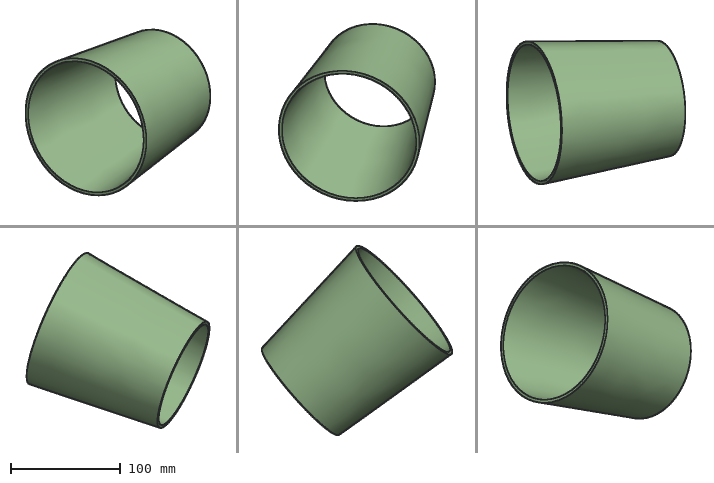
import cadquery as cq

LARGE_OUTER_DIAMETER = 131.0
SMALL_OUTER_DIAMETER = 106.0
WALL = 3.0
LENGTH = 127.0


def reducer_shell():
    """Revolve the slanted wall section around Y, with the large end at Y = 0."""
    large_radius = LARGE_OUTER_DIAMETER / 2
    small_radius = SMALL_OUTER_DIAMETER / 2
    wall_section = [
        (large_radius - WALL, 0),
        (large_radius, 0),
        (small_radius, LENGTH),
        (small_radius - WALL, LENGTH),
    ]
    return (
        cq.Workplane("XY")
        .polyline(wall_section)
        .close()
        .revolve(360, (0, 0, 0), (0, 1, 0))
    )


result = reducer_shell()